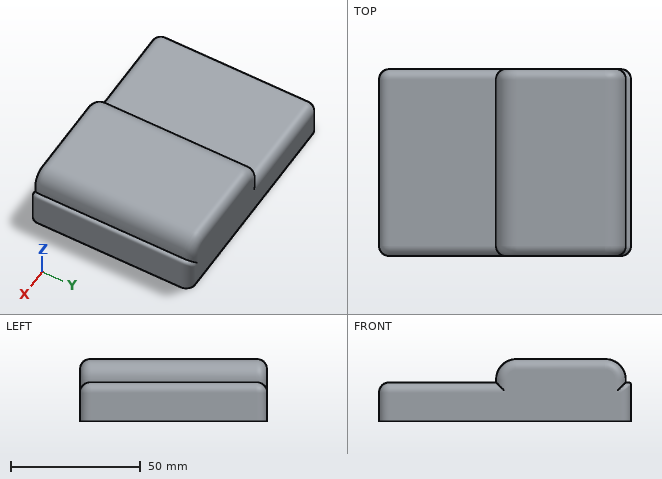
import cadquery as cq

base_length = 97.0
width = 72.0
base_height = 15.0

total_height = 24.0
block_length = 50.0
block_end_setback = 2.0

edge_radius = 4.0
back_rim_radius = 1.0
shoulder_radius = 8.0


def make_base():
    """Slab with rounded vertical corners and top rim; the rim is rounded more tightly at the +X end."""
    slab = cq.Workplane("XY").box(base_length, width, base_height, centered=(True, True, False))
    slab = slab.edges("|Z or (>Z and |X) or (>Z and <X)").fillet(edge_radius)
    return slab.faces(">X").edges(">Z").fillet(back_rim_radius)


def make_block():
    """Raised block with wide shoulders and rounded side outlines, reaching down to the slab's underside."""
    block_center_x = base_length / 2 - block_end_setback - block_length / 2
    block = cq.Workplane("XY").center(block_center_x, 0)
    block = block.box(block_length, width, total_height, centered=(True, True, False))
    block = block.faces(">Z").edges("|Y").fillet(shoulder_radius)
    return block.faces("<Y or >Y").edges("not <Z").fillet(edge_radius)


result = make_base().union(make_block())